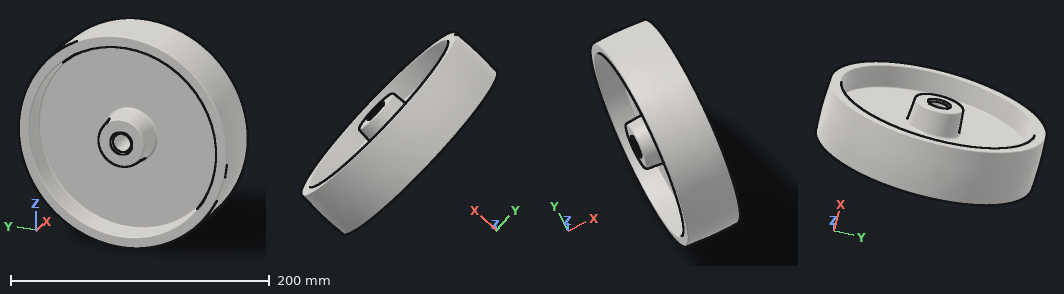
import cadquery as cq

wheel_radius = 87.5
rim_width = 45.0
hub_width = 50.0
web_thickness = 9.0

crown_drop = 0.9
tread_fillet = 1.0

rim_mouth_radius = 77.5
rim_root_radius = 76.1
rim_mouth_fillet = 1.0
rim_root_fillet = 1.0

hub_end_radius = 19.2
hub_root_radius = 21.0
hub_end_fillet = 1.0
hub_root_fillet = 2.1

bore_radius = 7.5
bore_chamfer = 1.5

half_rim = rim_width / 2
half_hub = hub_width / 2
half_web = web_thickness / 2


def disc(radius, width):
    """Disc centred on the origin with its axis along X."""
    return cq.Workplane("YZ").circle(radius).extrude(width / 2, both=True)


def crowned_blank():
    """Solid wheel blank with a tread bulging at mid width and rounded shoulders."""
    shoulder_radius = wheel_radius - crown_drop
    blank = (
        cq.Workplane("XY")
        .moveTo(-half_rim, 0)
        .lineTo(-half_rim, shoulder_radius)
        .threePointArc((0, wheel_radius), (half_rim, shoulder_radius))
        .lineTo(half_rim, 0)
        .close()
        .revolve(360, (0, 0, 0), (1, 0, 0))
    )
    return blank.faces("<X or >X").edges().fillet(tread_fillet)


def side_cone(side, root_radius, end_radius, end_x):
    """Drafted cone from the web face out to end_x on one side (side is -1 or 1)."""
    return (
        cq.Workplane("XY")
        .moveTo(side * half_web, 0)
        .lineTo(side * half_web, root_radius)
        .lineTo(side * end_x, end_radius)
        .lineTo(side * end_x, 0)
        .close()
        .revolve(360, (0, 0, 0), (1, 0, 0))
    )


def recess(side):
    """Dish between web and rim mouth, with the root corner rounded."""
    dish = side_cone(side, rim_root_radius, rim_mouth_radius, half_rim)
    inner_face = ">X" if side < 0 else "<X"
    return dish.faces(inner_face).edges().fillet(rim_root_fillet)


def hub_half(side):
    """Hub cone on one side of the web, with its outer end rounded."""
    cone = side_cone(side, hub_root_radius, hub_end_radius, half_hub)
    outer_face = "<X" if side < 0 else ">X"
    return cone.faces(outer_face).edges().fillet(hub_end_fillet)


def ring_edges(body, x, radius):
    """Circular edges of the body with the given radius, at x on both sides."""
    tolerance = 0.002
    return body.edges("%CIRCLE").filter(
        lambda edge: abs(abs(edge.Center().x) - x) < tolerance
        and abs(edge.radius() - radius) < tolerance
    )


wheel = crowned_blank()
for side in (-1, 1):
    wheel = wheel.cut(recess(side))
    wheel = wheel.union(hub_half(side))

wheel = ring_edges(wheel, half_rim, rim_mouth_radius).fillet(rim_mouth_fillet)
wheel = ring_edges(wheel, half_web, hub_root_radius).fillet(hub_root_fillet)

wheel = wheel.cut(disc(bore_radius, hub_width))
wheel = ring_edges(wheel, half_hub, bore_radius).chamfer(bore_chamfer)

result = wheel